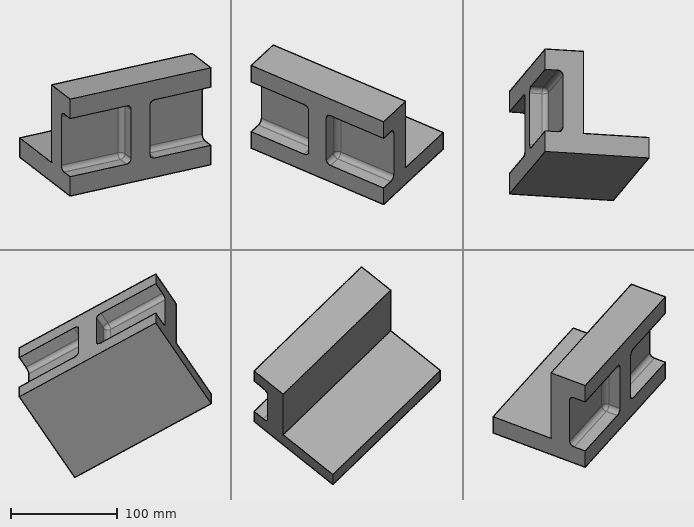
import cadquery as cq

length_x = 100.0
width_y = 150.0
height_z = 100.0

base_thickness = 20.0
upright_thickness = 37.0

recess_depth = 17.0
recess_bottom = base_thickness
recess_top = 80.0
rib_thickness = 20.0
recess_fillet = 5.0


def make_bracket_body():
    """L-shaped profile in XZ, centred on Y, with the base underside at Z = 0."""
    upright_front = length_x - upright_thickness
    return (
        cq.Workplane("XZ")
        .moveTo(0, 0)
        .lineTo(length_x, 0)
        .lineTo(length_x, height_z)
        .lineTo(upright_front, height_z)
        .lineTo(upright_front, base_thickness)
        .lineTo(0, base_thickness)
        .close()
        .extrude(width_y / 2, both=True)
    )


def make_recess(side):
    """Cutter for the recess on one side of the rib (side is -1 or +1).

    It runs out through the end face and the back face; the edges along its
    floor and around the rib are rounded.
    """
    overrun = 2 * recess_fillet
    recess_length = (width_y - rib_thickness) / 2 + overrun
    recess_height = recess_top - recess_bottom
    centre_y = side * (rib_thickness + recess_length) / 2
    rib_face = ">Y" if side < 0 else "<Y"
    return (
        cq.Workplane("XY")
        .box(recess_depth + overrun, recess_length, recess_height, centered=(False, True, False))
        .translate((length_x - recess_depth, centre_y, recess_bottom))
        .edges(f"(<X and |Y) or ({rib_face} and (not >X))")
        .fillet(recess_fillet)
    )


result = make_bracket_body()
for side in (-1, 1):
    result = result.cut(make_recess(side))